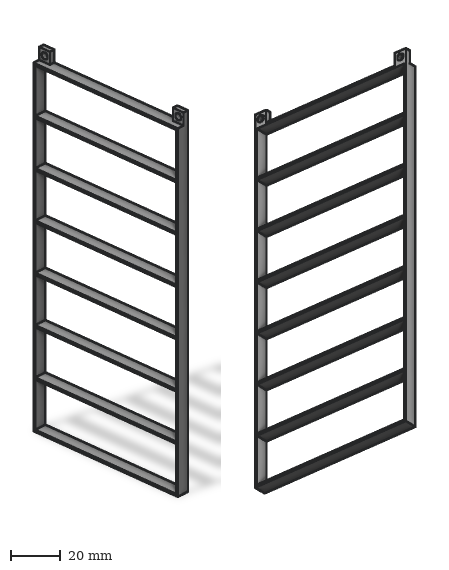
import cadquery as cq

width = 80.0
depth = 6.0
height = 175.0

wall = 1.0
bay_count = 7

tab_size = 6.0
tab_thickness = 2.6
hole_diameter = 3.2

frame_height = height - tab_size
rung_pitch = (frame_height - wall) / bay_count
tab_center_x = (width - tab_size) / 2
tab_center_z = frame_height + tab_size / 2


def block(size_x, size_y, size_z, center_x, back_y, bottom_z):
    """Box placed by its centre in X, its back face and its bottom face."""
    return (
        cq.Workplane("XY")
        .box(size_x, size_y, size_z, centered=(True, False, False))
        .translate((center_x, back_y - size_y, bottom_z))
    )


def make_frame():
    """Rectangular slab opened into equal bays separated by rungs."""
    frame = block(width, depth, frame_height, 0, depth, 0)
    for bay in range(bay_count):
        bottom_z = wall + bay * rung_pitch
        opening = block(width - 2 * wall, depth, rung_pitch - wall, 0, depth, bottom_z)
        frame = frame.cut(opening)
    return frame


def make_tab(center_x):
    """Square hanging tab with a through hole along Y."""
    tab = block(tab_size, tab_thickness, tab_size, center_x, depth, frame_height)
    hole = (
        cq.Workplane("XZ")
        .center(center_x, tab_center_z)
        .circle(hole_diameter / 2)
        .extrude(-depth)
    )
    return tab.cut(hole)


result = make_frame()
for side in (-1, 1):
    result = result.union(make_tab(side * tab_center_x))